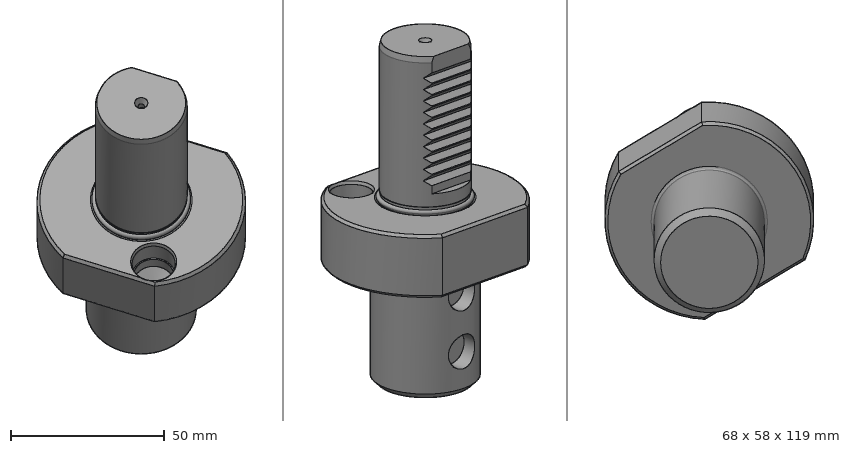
import cadquery as cq
import math


total_length = 119.0
shank_length = 55.0
flange_thickness = 22.0
nose_length = total_length - shank_length - flange_thickness

shank_radius = 15.0
shank_chamfer_height = 2.0
shank_chamfer_width = shank_chamfer_height * math.tan(math.radians(15))

tooth_flat_y = 12.1
tooth_flat_bottom_z = 7.0
first_groove_z = 11.7
groove_row_length = 35.9
groove_count = 10
groove_pitch = groove_row_length / (groove_count - 1)
groove_depth = 1.8

neck_radius = 14.8
neck_top_z = 2.4
ring_centre_radius = 15.1
ring_centre_z = 0.5
ring_section_radius = 1.0
seat_radius = 16.5
seat_depth = seat_radius - neck_radius

flange_radius = 68.0 / 2
flange_back_y = 28.0
flange_front_y = -30.0
flange_chamfer = 1.0

nose_radius = 18.0
nose_fillet = 1.0
nose_chamfer = 2.1
nose_bottom_z = -flange_thickness - nose_length

locating_circle_radius = 25.0
locating_angle = math.radians(-60)
locating_bore_radius = 7.0
locating_bore_depth = 7.9
locating_drill_radius = 6.5
locating_drill_depth = 11.9
locating_chamfer_width = 0.5
locating_chamfer_depth = 1.1
drill_tip_angle = 118

centre_cone_radius = 2.1
centre_pilot_radius = 1.01
centre_pilot_depth = 4.0
centre_cone_angle = 60

screw_hole_radius = 6.0
screw_hole_depth = 6.0
first_screw_drop = 6.7
screw_spacing = 20.3


def cone_depth(large_radius, small_radius, full_angle):
    """Axial length of a cone between two radii."""
    return (large_radius - small_radius) / math.tan(math.radians(full_angle / 2))


def turned_shank():
    """Shank and undercut, turned about Z and reaching down to the bottom of the ring seat."""
    return (
        cq.Workplane("XZ")
        .moveTo(0, -seat_depth)
        .lineTo(neck_radius, -seat_depth)
        .lineTo(neck_radius, neck_top_z)
        .lineTo(shank_radius, neck_top_z)
        .lineTo(shank_radius, shank_length - shank_chamfer_height)
        .lineTo(shank_radius - shank_chamfer_width, shank_length)
        .lineTo(0, shank_length)
        .close()
        .revolve(360, (0, 0, 0), (0, 1, 0))
    )


def ring_seat():
    """45 degree seat in the upper face of the flange, narrowing down to the neck."""
    return (
        cq.Workplane("XZ")
        .moveTo(0, 0)
        .lineTo(seat_radius, 0)
        .lineTo(neck_radius, -seat_depth)
        .lineTo(0, -seat_depth)
        .close()
        .revolve(360, (0, 0, 0), (0, 1, 0))
    )


def sealing_ring():
    """Ring of round section around the neck, sunk into its seat."""
    return (
        cq.Workplane("XZ")
        .center(ring_centre_radius, ring_centre_z)
        .circle(ring_section_radius)
        .revolve(360, (-ring_centre_radius, 0, 0), (-ring_centre_radius, 1, 0))
    )


def tooth_cutter():
    """Everything removed beyond the toothed flat, as one prism along X."""
    outside_y = 2 * shank_radius
    profile = cq.Workplane("YZ").moveTo(outside_y, tooth_flat_bottom_z)
    profile = profile.lineTo(tooth_flat_y, tooth_flat_bottom_z)
    for index in range(groove_count):
        root_z = first_groove_z + index * groove_pitch
        profile = profile.lineTo(tooth_flat_y, root_z - groove_depth)
        profile = profile.lineTo(tooth_flat_y - groove_depth, root_z)
        profile = profile.lineTo(tooth_flat_y, root_z + groove_depth)
    profile = profile.lineTo(tooth_flat_y, shank_length).lineTo(outside_y, shank_length)
    return profile.close().extrude(shank_radius, both=True)


def flange():
    """Chamfered disc with one flat at the back and one at the front."""
    disc = cq.Workplane("XY").circle(flange_radius).extrude(-flange_thickness)
    slab = (
        cq.Workplane("XY")
        .center(0, (flange_back_y + flange_front_y) / 2)
        .rect(2 * flange_radius, flange_back_y - flange_front_y)
        .extrude(-flange_thickness)
    )
    return disc.intersect(slab).faces("|Z").edges().chamfer(flange_chamfer)


def nose():
    """Nose cylinder with a fillet under the flange and a chamfered lower end."""
    top_z = -flange_thickness
    return (
        cq.Workplane("XZ")
        .moveTo(0, top_z)
        .lineTo(nose_radius + nose_fillet, top_z)
        .radiusArc((nose_radius, top_z - nose_fillet), -nose_fillet)
        .lineTo(nose_radius, nose_bottom_z + nose_chamfer)
        .lineTo(nose_radius - nose_chamfer, nose_bottom_z)
        .lineTo(0, nose_bottom_z)
        .close()
        .revolve(360, (0, 0, 0), (0, 1, 0))
    )


def locating_hole():
    """Chamfered bore continuing as a slightly narrower drilled hole."""
    tip_z = -locating_drill_depth - cone_depth(locating_drill_radius, 0, drill_tip_angle)
    cutter = (
        cq.Workplane("XZ")
        .moveTo(0, 0)
        .lineTo(locating_bore_radius + locating_chamfer_width, 0)
        .lineTo(locating_bore_radius, -locating_chamfer_depth)
        .lineTo(locating_bore_radius, -locating_bore_depth)
        .lineTo(locating_drill_radius, -locating_bore_depth)
        .lineTo(locating_drill_radius, -locating_drill_depth)
        .lineTo(0, tip_z)
        .close()
        .revolve(360, (0, 0, 0), (0, 1, 0))
    )
    x = locating_circle_radius * math.cos(locating_angle)
    y = locating_circle_radius * math.sin(locating_angle)
    return cutter.translate((x, y, 0))


def centre_hole():
    """Conical centre hole with a narrow pilot."""
    cone_bottom_z = shank_length - cone_depth(centre_cone_radius, centre_pilot_radius, centre_cone_angle)
    pilot_bottom_z = shank_length - centre_pilot_depth
    tip_z = pilot_bottom_z - cone_depth(centre_pilot_radius, 0, drill_tip_angle)
    return (
        cq.Workplane("XZ")
        .moveTo(0, shank_length)
        .lineTo(centre_cone_radius, shank_length)
        .lineTo(centre_pilot_radius, cone_bottom_z)
        .lineTo(centre_pilot_radius, pilot_bottom_z)
        .lineTo(0, tip_z)
        .close()
        .revolve(360, (0, 0, 0), (0, 1, 0))
    )


def screw_holes():
    """Two blind holes along Y, one above the other."""
    first_z = -flange_thickness - first_screw_drop
    return (
        cq.Workplane("XZ", origin=(0, nose_radius, 0))
        .pushPoints([(0, first_z), (0, first_z - screw_spacing)])
        .circle(screw_hole_radius)
        .extrude(screw_hole_depth)
    )


result = (
    flange()
    .cut(ring_seat())
    .union(turned_shank().cut(tooth_cutter()))
    .union(sealing_ring())
    .union(nose())
    .cut(locating_hole())
    .cut(centre_hole())
    .cut(screw_holes())
)